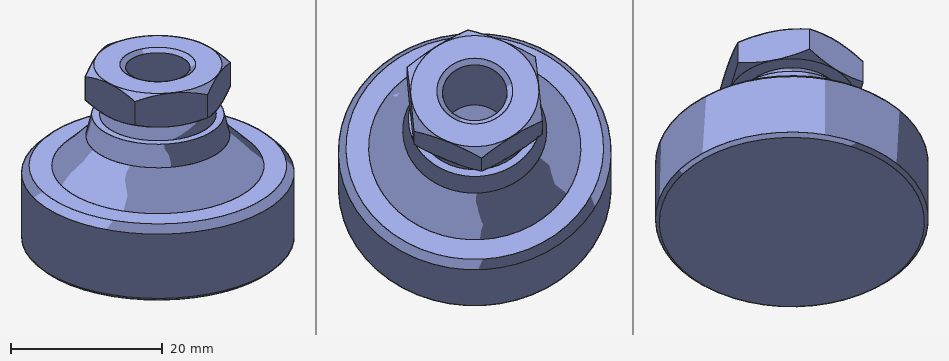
import cadquery as cq
import math


base_diameter = 36.0
base_height = 11.0
base_top_chamfer = 1.0
base_bottom_chamfer = 0.5

socket_bottom_radius = 14.0
collar_bottom_radius = 9.5
collar_top_radius = 8.75
collar_height = 3.1
cone_top_z = base_height + socket_bottom_radius - collar_bottom_radius
socket_top_z = cone_top_z + collar_height

overall_height = 26.0
head_height = 5.0
head_bottom_z = overall_height - head_height
across_flats = 17.0
across_corners = across_flats / math.cos(math.radians(30))
head_face_diameter = 16.92
head_chamfer_angle = 30.0
corner_clearance = 0.35
ball_radius = 8.0
ball_center_z = 16.5

hole_diameter = 8.5
hole_mouth_diameter = 10.0
hole_depth = 11.0
drill_point_angle = 120.0
countersink_angle = 120.0


def revolve_profile(points):
    """Revolve a closed outline of (radius, z) points about the Z axis."""
    return cq.Workplane("XZ").polyline(points).close().revolve(360, (0, 0), (0, 1))


def make_ball():
    return cq.Workplane("XY").sphere(ball_radius).translate((0, 0, ball_center_z))


def make_base():
    """Disc with chamfered rims and a shallow seat for the bottom of the ball."""
    disc = cq.Workplane("XY").circle(base_diameter / 2).extrude(base_height)
    disc = disc.faces(">Z").chamfer(base_top_chamfer)
    disc = disc.faces("<Z").chamfer(base_bottom_chamfer)
    return disc.cut(make_ball())


def make_socket():
    """Conical ring that wraps around the ball and stands on the base."""
    cone = revolve_profile([
        (0, base_height),
        (socket_bottom_radius, base_height),
        (collar_bottom_radius, cone_top_z),
        (collar_top_radius, socket_top_z),
        (0, socket_top_z),
    ])
    return cone.cut(make_ball())


def make_hex_head():
    """Hexagon with corners on the Y axis, chamfered by a cone at both ends."""
    hexagon = (
        cq.Workplane("XY", origin=(0, 0, head_bottom_z))
        .transformed(rotate=(0, 0, 90))
        .polygon(6, across_corners)
        .extrude(head_height)
    )
    face_radius = head_face_diameter / 2
    rim_radius = across_corners / 2 + corner_clearance
    rim_drop = (rim_radius - face_radius) * math.tan(math.radians(head_chamfer_angle))
    envelope = revolve_profile([
        (0, head_bottom_z),
        (face_radius, head_bottom_z),
        (rim_radius, head_bottom_z + rim_drop),
        (rim_radius, overall_height - rim_drop),
        (face_radius, overall_height),
        (0, overall_height),
    ])
    return hexagon.intersect(envelope)


def make_stud_hole():
    """Blind hole with a wide countersink and a conical drill point."""
    hole_radius = hole_diameter / 2
    mouth_radius = hole_mouth_diameter / 2
    countersink_depth = (mouth_radius - hole_radius) / math.tan(math.radians(countersink_angle / 2))
    point_depth = hole_radius / math.tan(math.radians(drill_point_angle / 2))
    hole_bottom_z = overall_height - hole_depth
    return revolve_profile([
        (0, hole_bottom_z - point_depth),
        (hole_radius, hole_bottom_z),
        (hole_radius, overall_height - countersink_depth),
        (mouth_radius, overall_height),
        (0, overall_height),
    ])


def make_ball_stud():
    """Ball joined directly to the hexagon head, with the blind hole down its axis."""
    return make_ball().union(make_hex_head()).cut(make_stud_hole())


base = make_base()
socket = make_socket()
ball_stud = make_ball_stud()

result = cq.Compound.makeCompound([base.solids().val(), socket.solids().val(), ball_stud.solids().val()])